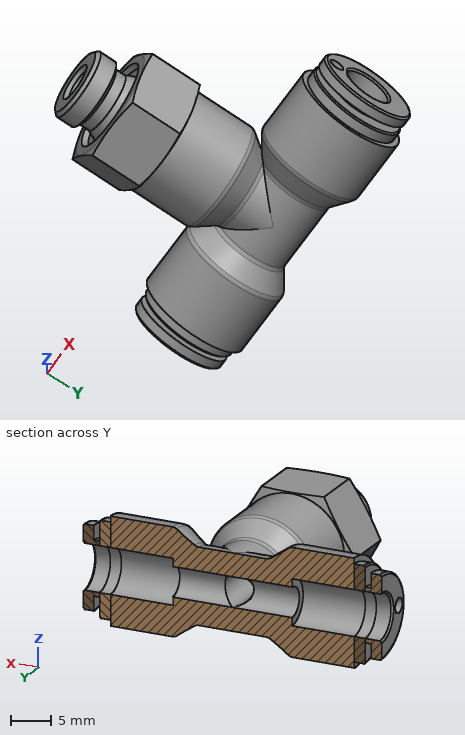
import cadquery as cq
import math

run_half_length = 20.65
barrel_diameter = 14.7
barrel_radius = barrel_diameter / 2
overall_depth = 37.45
branch_tip = overall_depth - barrel_radius

flange_thickness = 1.5
collar_depth = 2.27
barrel_depth = 3.8
socket_depth = 12.4
collar_start = run_half_length - collar_depth
barrel_start = run_half_length - barrel_depth
socket_floor = run_half_length - socket_depth

waist_radius = 5.25
waist_end = 5.0
shoulder_start = 8.0
shoulder_blend = 1.0
flow_bore_diameter = 4.0
tube_bore_diameter = 6.2

collar_diameter = 13.15
collar_chamfer = 0.2

flange_width = 13.0
flange_height = 11.45
button_neck_diameter = 7.5
button_chamfer = 0.25
dot_diameter = 2.0
dot_offset = 4.85
dot_depth = 0.9

hex_across_flats = 15.0
hex_start = 16.8
hex_end = 24.8
hex_chamfer_diameter = 14.7
hex_chamfer_angle = 16.0
recess_diameter = 12.25
recess_floor_diameter = 11.6
recess_depth = 0.75
neck_diameter = 8.2
neck_root_diameter = 9.35
neck_start = hex_end + 0.5
neck_end = 26.75
thread_start = 27.25
thread_diameter = 9.75
tip_chamfer = 0.5
bore_mouth_chamfer = 0.55


def revolved_about_y(points):
    """Solid of revolution from (radius, distance towards -Y) points."""
    profile = [(radius, -distance) for radius, distance in points]
    return cq.Workplane("XY").polyline(profile).close().revolve(360, (0, 0, 0), (0, 1, 0))


def bore_along_y(diameter, start, end):
    """Cylinder on the branch axis between two distances towards -Y."""
    return revolved_about_y([(0, start), (diameter / 2, start), (diameter / 2, end), (0, end)])


def cylinder_along_x(diameter, start, end):
    """Cylinder on the run axis between two X positions."""
    return cq.Workplane("YZ").workplane(offset=start).circle(diameter / 2).extrude(end - start)


def tee_arm(length):
    """One arm along -Y from the origin: a waist, a conical shoulder with blended ends and a barrel."""
    arm = revolved_about_y([
        (0, 0),
        (waist_radius, 0),
        (waist_radius, waist_end),
        (barrel_radius, shoulder_start),
        (barrel_radius, length),
        (0, length),
    ])
    shoulder_edges = cq.selectors.BoxSelector(
        (-barrel_radius, -shoulder_start - shoulder_blend, -barrel_radius),
        (barrel_radius, -waist_end + shoulder_blend, barrel_radius),
    )
    return arm.edges("%CIRCLE").edges(shoulder_edges).fillet(shoulder_blend)


def make_tee():
    """Three arms whose equal waists meet in 45 degree seams, bored through along both axes."""
    run_arm = tee_arm(barrel_start)
    tee = tee_arm(hex_start)
    for angle in (-90, 90):
        tee = tee.union(run_arm.rotate((0, 0, 0), (0, 0, 1), angle))
    tee = tee.cut(cylinder_along_x(flow_bore_diameter, -barrel_start, barrel_start))
    tee = tee.cut(bore_along_y(flow_bore_diameter, 0, hex_start))
    for side in (-1, 1):
        tee = tee.cut(cylinder_along_x(tube_bore_diameter, side * socket_floor, side * barrel_start))
    return tee


def make_collar(side):
    """Plain ring butted against the end of the barrel; side is -1 or +1 along X."""
    collar = cylinder_along_x(collar_diameter, side * barrel_start, side * collar_start)
    outer_face = "<X" if side < 0 else ">X"
    collar = collar.faces(outer_face).chamfer(collar_chamfer)
    return collar.cut(cylinder_along_x(tube_bore_diameter, side * barrel_start, side * collar_start))


def make_button(side):
    """Release button: an oval flange on a short round neck, with a marker recess on its -Y side."""
    flange_inner = run_half_length - flange_thickness
    outer_face = "<X" if side < 0 else ">X"
    flange = (
        cq.Workplane("YZ")
        .workplane(offset=side * flange_inner)
        .ellipse(flange_width / 2, flange_height / 2)
        .extrude(side * flange_thickness)
    )
    flange = flange.faces(outer_face).chamfer(button_chamfer)
    button = flange.union(cylinder_along_x(button_neck_diameter, side * collar_start, side * flange_inner))
    button = button.cut(cylinder_along_x(tube_bore_diameter, side * collar_start, side * run_half_length))
    button = button.faces(outer_face).edges(cq.selectors.RadiusNthSelector(0)).chamfer(button_chamfer)
    dot = cylinder_along_x(dot_diameter, side * (run_half_length - dot_depth), side * run_half_length)
    return button.cut(dot.translate((0, -dot_offset, 0)))


def make_stud():
    """Hexagon with a recessed end face, carrying the flared neck and the plain thread cylinder."""
    hex_corner_radius = hex_across_flats / math.sqrt(3)
    hexagon = (
        cq.Workplane("XZ")
        .workplane(offset=hex_start)
        .polygon(6, 2 * hex_corner_radius)
        .extrude(hex_end - hex_start)
    )

    end_radius = hex_chamfer_diameter / 2
    corner_drop = (hex_corner_radius - end_radius) * math.tan(math.radians(hex_chamfer_angle))
    hexagon = hexagon.intersect(revolved_about_y([
        (0, hex_start),
        (end_radius, hex_start),
        (hex_corner_radius, hex_start + corner_drop),
        (hex_corner_radius, hex_end - corner_drop),
        (end_radius, hex_end),
        (0, hex_end),
    ]))

    recess_floor = hex_end - recess_depth
    hexagon = hexagon.cut(revolved_about_y([
        (0, recess_floor),
        (recess_floor_diameter / 2, recess_floor),
        (recess_diameter / 2, hex_end),
        (0, hex_end),
    ]))

    spigot = revolved_about_y([
        (0, recess_floor),
        (neck_root_diameter / 2, recess_floor),
        (neck_diameter / 2, neck_start),
        (neck_diameter / 2, neck_end),
        (thread_diameter / 2, thread_start),
        (thread_diameter / 2, branch_tip - tip_chamfer),
        (thread_diameter / 2 - tip_chamfer, branch_tip),
        (0, branch_tip),
    ])
    stud = hexagon.union(spigot)

    stud = stud.cut(bore_along_y(flow_bore_diameter, hex_start, branch_tip))
    return stud.faces("<Y").edges(cq.selectors.RadiusNthSelector(0)).chamfer(bore_mouth_chamfer)


tee = make_tee()
stud = make_stud()
collars = [make_collar(side) for side in (-1, 1)]
buttons = [make_button(side) for side in (-1, 1)]

result = cq.Compound.makeCompound([
    tee.val(),
    stud.val(),
    *[collar.val() for collar in collars],
    *[button.val() for button in buttons],
])